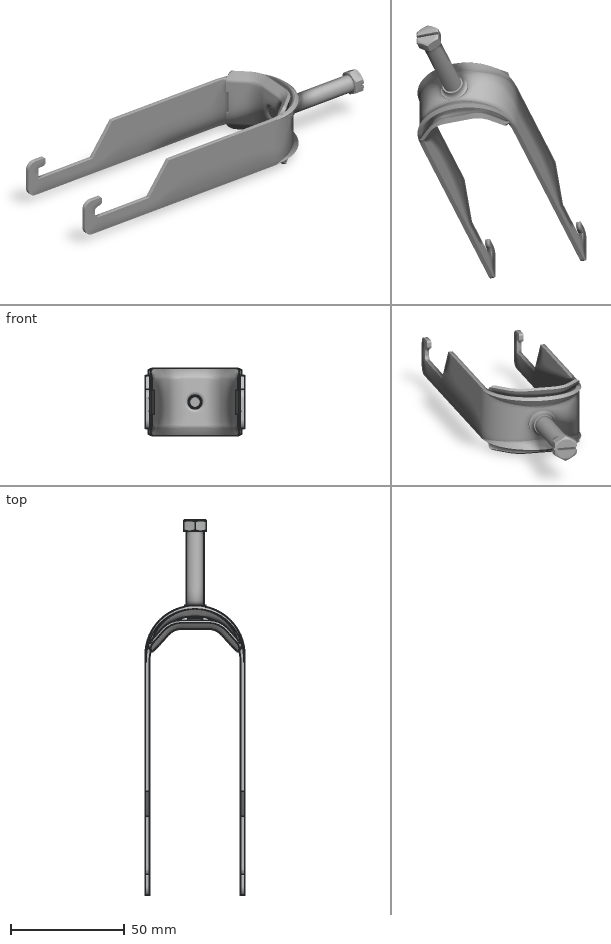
import cadquery as cq
import math

AXIS_SPAN = 165.5
SCREW_END_Y = AXIS_SPAN / 2
HOOK_END_Y = -AXIS_SPAN / 2
CUT_SIZE = 66.2
SELECT_GAP = 0.02

STRAP_SHEET = 2.0
STRAP_OUTER_R = 22.0
STRAP_INNER_R = STRAP_OUTER_R - STRAP_SHEET
BEND_Y = 20.2
CROWN_Y = BEND_Y + STRAP_OUTER_R
STRAP_HALF_WIDTH = 11.6

FLARE_ANGLE = math.radians(40)
FLARE_R = 22.0
FLARE_LIP_Z = 11.3
FLARE_RISE = 2.8
FLARE_BEND_R = 2.2
FLARE_TOP_Z = 12.5
FLARE_CENTRE_Y = CROWN_Y + FLARE_RISE - FLARE_R

COLLAR_D = 9.3
COLLAR_TOP_Y = 45.0
COLLAR_FILLET = 1.5

SLOPE_TOP_Y = -36.9
SLOPE_FOOT_Y = -47.8
ARM_TOP_Z = -4.0
HOOK_INNER_Y = -77.5
HOOK_TIP_Y = -73.5
HOOK_UNDER_Z = 1.7
HOOK_TOP_Z = 5.6
HOOK_OUTER_R = 3.8
HOOK_TIP_UNDER_R = 1.7
HOOK_TIP_TOP_R = 1.0
HOOK_THROAT_R = 2.2

SADDLE_SHEET = 1.5
SADDLE_FRONT_Y = 34.6
FLAT_HALF = 6.0
LEG_ANGLE = math.radians(48)
BEND_END_X = 11.8
LEG_END_X = 16.2
TIP_ANGLE = math.radians(43)
TIP_BEND_R = 8.3
TIP_LENGTH = 3.0
SADDLE_WIDTH = 30.0
SADDLE_HALF_WIDTH = SADDLE_WIDTH / 2
FLANGE_ANGLE = math.radians(34)
FLANGE_FOLD_Z = 11.0
FLANGE_BEND_R = 2.2
FLANGE_CORNER_R = 4.0
NOTCH_HALF = 5.3
NOTCH_DEPTH = 1.2
SADDLE_HOLE_D = 6.0
SADDLE_HOLE_ROUND = 1.7
SADDLE_COLLAR_D = 8.0
SADDLE_COLLAR_TOP_Y = 38.4

SHAFT_D = 8.0
HEAD_FLATS = 10.0
HEAD_LENGTH = 5.0
HEAD_CHAMFER_ANGLE = math.radians(30)
HEAD_FACE_D = 9.0
HEAD_BEARING_D = 10.0
SLOT_WIDTH = 1.3
SLOT_DEPTH = 2.0
SHOULDER_D = 6.6
NECK_LENGTH = 1.0
PIN_D = SADDLE_HOLE_D
PIN_TIP_D = 5.0
PIN_TIP_CHAMFER = (PIN_D - PIN_TIP_D) / 2
PIN_END_Y = 35.5


def bar_along_y(diameter, y_start, y_end):
    plane = cq.Plane(origin=(0, y_start, 0), xDir=(1, 0, 0), normal=(0, 1, 0))
    return cq.Workplane(plane).circle(diameter / 2).extrude(y_end - y_start)


def upright_disc(radius, half_height):
    disc = cq.Workplane("XY").circle(radius).extrude(half_height, both=True)
    return disc.translate((0, BEND_Y, 0))


def both_edges(shape):
    return shape.union(shape.mirror("XY"))


def flare_body(offset):
    """Solid of revolution whose wall is the flare, moved inward by `offset`."""
    cos_a = math.cos(FLARE_ANGLE)
    sin_a = math.sin(FLARE_ANGLE)
    lip_r = FLARE_R - offset * cos_a
    lip_z = FLARE_LIP_Z + offset * sin_a
    wall_r = CROWN_Y - FLARE_CENTRE_Y - offset
    bend_r = FLARE_BEND_R + offset
    bend_end_r = wall_r + bend_r * (1 - cos_a)
    bend_mid_r = wall_r + bend_r * (1 - math.cos(FLARE_ANGLE / 2))
    bend_end_z = lip_z - (lip_r - bend_end_r) / math.tan(FLARE_ANGLE)
    bend_start_z = bend_end_z - bend_r * sin_a
    bend_mid_z = bend_start_z + bend_r * math.sin(FLARE_ANGLE / 2)
    top_r = FLARE_R - STRAP_SHEET * cos_a
    top_z = FLARE_LIP_Z + STRAP_SHEET * sin_a
    profile = (
        cq.Workplane("XZ")
        .moveTo(0, bend_start_z)
        .lineTo(wall_r, bend_start_z)
        .threePointArc((bend_mid_r, bend_mid_z), (bend_end_r, bend_end_z))
        .lineTo(lip_r, lip_z)
    )
    if offset == 0:
        profile = profile.lineTo(top_r, top_z)
    body = profile.lineTo(0, top_z).close().revolve(360, (0, 0, 0), (0, 1, 0))
    return both_edges(body.translate((0, FLARE_CENTRE_Y, 0)))


def round_end():
    outer = upright_disc(STRAP_OUTER_R, STRAP_HALF_WIDTH).union(flare_body(0))
    inner = upright_disc(STRAP_INNER_R, CUT_SIZE).union(flare_body(STRAP_SHEET))
    crown_end_y = CROWN_Y + FLARE_RISE
    side_outline = [
        (BEND_Y, -STRAP_HALF_WIDTH),
        (BEND_Y, STRAP_HALF_WIDTH),
        (crown_end_y, FLARE_TOP_Z),
        (crown_end_y, -FLARE_TOP_Z),
    ]
    keep = cq.Workplane("YZ").polyline(side_outline).close().extrude(CUT_SIZE, both=True)
    return outer.cut(inner).intersect(keep)


def arm():
    """Right arm, with the throat of its hook still sharp."""
    bottom_z = -STRAP_HALF_WIDTH
    outline = [
        (BEND_Y, bottom_z),
        (BEND_Y, STRAP_HALF_WIDTH),
        (SLOPE_TOP_Y, STRAP_HALF_WIDTH),
        (SLOPE_FOOT_Y, ARM_TOP_Z),
        (HOOK_INNER_Y, ARM_TOP_Z),
        (HOOK_INNER_Y, HOOK_UNDER_Z),
        (HOOK_TIP_Y, HOOK_UNDER_Z),
        (HOOK_TIP_Y, HOOK_TOP_Z),
        (HOOK_END_Y, HOOK_TOP_Z),
        (HOOK_END_Y, bottom_z),
    ]
    plate = cq.Workplane("YZ").polyline(outline).close().extrude(STRAP_SHEET).translate((STRAP_INNER_R, 0, 0))
    corners = [
        (HOOK_END_Y, bottom_z, HOOK_OUTER_R),
        (HOOK_END_Y, HOOK_TOP_Z, HOOK_OUTER_R),
        (HOOK_TIP_Y, HOOK_UNDER_Z, HOOK_TIP_UNDER_R),
        (HOOK_TIP_Y, HOOK_TOP_Z, HOOK_TIP_TOP_R),
    ]
    for y, z, radius in corners:
        plate = round_arm_corner(plate, y, z, radius)
    return plate


def round_arm_corner(plate, y, z, radius):
    corner = cq.NearestToPointSelector((STRAP_OUTER_R - STRAP_SHEET / 2, y, z))
    return plate.edges(corner).fillet(radius)


def arms():
    right_arm = arm()
    left_arm = right_arm.mirror("YZ")
    for z in (ARM_TOP_Z, HOOK_UNDER_Z):
        right_arm = round_arm_corner(right_arm, HOOK_INNER_Y, z, HOOK_THROAT_R)
    return right_arm.union(left_arm)


def strap_collar():
    """Collar around the thread, with a rounded foot that blends into the crown."""
    radius = COLLAR_D / 2
    foot_r = radius + COLLAR_FILLET
    round_y = CROWN_Y + COLLAR_FILLET
    mid = COLLAR_FILLET * math.sqrt(0.5)
    root_y = CROWN_Y - STRAP_SHEET / 2
    return (
        cq.Workplane("XY")
        .moveTo(0, root_y)
        .lineTo(foot_r, root_y)
        .lineTo(foot_r, CROWN_Y)
        .threePointArc((foot_r - mid, round_y - mid), (radius, round_y))
        .lineTo(radius, COLLAR_TOP_Y)
        .lineTo(0, COLLAR_TOP_Y)
        .close()
        .revolve(360, (0, 0, 0), (0, 1, 0))
    )


def make_strap():
    strap = round_end().union(arms()).union(strap_collar())
    return strap.cut(bar_along_y(SHAFT_D, CROWN_Y - 2 * STRAP_SHEET, COLLAR_TOP_Y))


def arc_point(centre_x, centre_y, radius, angle):
    """Point on a circle, with the angle taken from +Y toward +X."""
    return (centre_x + radius * math.sin(angle), centre_y + radius * math.cos(angle))


def left(point):
    return (-point[0], point[1])


def saddle_path_points():
    """Points of the right half of the saddle's front surface, from the flat to the leg end."""
    bend_r = (BEND_END_X - FLAT_HALF) / math.sin(LEG_ANGLE)
    centre_y = SADDLE_FRONT_Y - bend_r
    flat_end = (FLAT_HALF, SADDLE_FRONT_Y)
    bend_mid = arc_point(FLAT_HALF, centre_y, bend_r, LEG_ANGLE / 2)
    bend_end = arc_point(FLAT_HALF, centre_y, bend_r, LEG_ANGLE)
    leg_end = (LEG_END_X, bend_end[1] - (LEG_END_X - BEND_END_X) * math.tan(LEG_ANGLE))
    axis_x, axis_y = arc_point(*leg_end, TIP_BEND_R, LEG_ANGLE)
    tip_mid = arc_point(axis_x, axis_y, -TIP_BEND_R, (LEG_ANGLE + TIP_ANGLE) / 2)
    tip_start = arc_point(axis_x, axis_y, -TIP_BEND_R, TIP_ANGLE)
    tip_end = (
        tip_start[0] + TIP_LENGTH * math.cos(TIP_ANGLE),
        tip_start[1] - TIP_LENGTH * math.sin(TIP_ANGLE),
    )
    return flat_end, bend_mid, bend_end, leg_end, tip_mid, tip_start, tip_end


def saddle_path():
    flat_end, bend_mid, bend_end, leg_end, tip_mid, tip_start, tip_end = saddle_path_points()
    return (
        cq.Workplane("XY")
        .moveTo(*left(tip_end))
        .lineTo(*left(tip_start))
        .threePointArc(left(tip_mid), left(leg_end))
        .lineTo(*left(bend_end))
        .threePointArc(left(bend_mid), left(flat_end))
        .lineTo(*flat_end)
        .threePointArc(bend_mid, bend_end)
        .lineTo(*leg_end)
        .threePointArc(tip_mid, tip_start)
        .lineTo(*tip_end)
    )


def saddle_section(plane):
    """Sheet section with both flanges; local x points to the back and local y along Z."""
    sin_a = math.sin(FLANGE_ANGLE)
    cos_a = math.cos(FLANGE_ANGLE)
    lip_x = (SADDLE_HALF_WIDTH - FLANGE_FOLD_Z) * math.tan(FLANGE_ANGLE)
    lip_back_x = lip_x + SADDLE_SHEET * cos_a
    lip_back_z = SADDLE_HALF_WIDTH - SADDLE_SHEET * sin_a
    fold_back_z = FLANGE_FOLD_Z - SADDLE_SHEET * math.tan(FLANGE_ANGLE / 2)
    outline = [
        (0, FLANGE_FOLD_Z),
        (lip_x, SADDLE_HALF_WIDTH),
        (lip_back_x, lip_back_z),
        (SADDLE_SHEET, fold_back_z),
        (SADDLE_SHEET, -fold_back_z),
        (lip_back_x, -lip_back_z),
        (lip_x, -SADDLE_HALF_WIDTH),
        (0, -FLANGE_FOLD_Z),
    ]
    return cq.Workplane(plane).polyline(outline).close()


def leg_end_plane(side):
    """Plane in a leg's front surface at its end: x along the leg, normal toward the back."""
    tip_x, tip_y = saddle_path_points()[-1]
    return cq.Plane(
        origin=(side * tip_x, tip_y, 0),
        xDir=(side * math.cos(TIP_ANGLE), -math.sin(TIP_ANGLE), 0),
        normal=(side * math.sin(TIP_ANGLE), math.cos(TIP_ANGLE), 0),
    )


def saddle_sheet():
    left_end = leg_end_plane(-1)
    start = cq.Plane(origin=left_end.origin, xDir=left_end.zDir, normal=left_end.xDir * -1)
    return saddle_section(start).sweep(saddle_path())


def round_flange_folds(saddle):
    fold_back_z = FLANGE_FOLD_Z - SADDLE_SHEET * math.tan(FLANGE_ANGLE / 2)
    folds = ((FLANGE_FOLD_Z, FLANGE_BEND_R), (fold_back_z, FLANGE_BEND_R - SADDLE_SHEET))
    for fold_z, radius in folds:
        for level in (-fold_z, fold_z):
            low = (-CUT_SIZE, -CUT_SIZE, level - SELECT_GAP)
            high = (CUT_SIZE, CUT_SIZE, level + SELECT_GAP)
            saddle = saddle.edges(cq.selectors.BoxSelector(low, high)).fillet(radius)
    return saddle


def trim_leg_end(saddle, side):
    """Round the flange corners of one leg end and cut its shallow notch."""
    end = leg_end_plane(side)
    keep = (
        cq.Workplane(end)
        .center(-CUT_SIZE / 2, 0)
        .rect(CUT_SIZE, 2 * SADDLE_HALF_WIDTH)
        .extrude(CUT_SIZE, both=True)
        .edges(cq.selectors.ParallelDirSelector(end.zDir))
        .fillet(FLANGE_CORNER_R)
    )
    notch = cq.Workplane(end).rect(2 * NOTCH_DEPTH, 2 * NOTCH_HALF).extrude(2 * SADDLE_SHEET, both=True)
    return saddle.intersect(keep).cut(notch)


def add_drawn_hole(saddle):
    """Hole with a short collar behind the flat and a rounded mouth in front."""
    middle_y = SADDLE_FRONT_Y + SADDLE_SHEET / 2
    saddle = saddle.union(bar_along_y(SADDLE_COLLAR_D, middle_y, SADDLE_COLLAR_TOP_Y))
    saddle = saddle.cut(bar_along_y(SADDLE_HOLE_D, SADDLE_FRONT_Y, SADDLE_COLLAR_TOP_Y))
    front_face = cq.NearestToPointSelector((0, SADDLE_FRONT_Y, 0))
    return saddle.faces(front_face).edges("%CIRCLE").fillet(SADDLE_HOLE_ROUND)


def make_saddle(strap):
    saddle = round_flange_folds(saddle_sheet())
    for side in (-1, 1):
        saddle = trim_leg_end(saddle, side)
    saddle = saddle.cut(strap)
    return add_drawn_hole(saddle)


def make_screw():
    head_start_y = SCREW_END_Y - HEAD_LENGTH
    head_plane = cq.Plane(origin=(0, head_start_y, 0), xDir=(0, 0, 1), normal=(0, 1, 0))
    corner_d = HEAD_FLATS / math.cos(math.pi / 6)
    head = cq.Workplane(head_plane).polygon(6, corner_d).extrude(HEAD_LENGTH)
    blank = cq.Workplane(head_plane).circle(corner_d / 2).extrude(HEAD_LENGTH)
    for end, face_d in ((">Y", HEAD_FACE_D), ("<Y", HEAD_BEARING_D)):
        chamfer_width = (corner_d - face_d) / 2
        chamfer_length = chamfer_width * math.tan(HEAD_CHAMFER_ANGLE)
        blank = blank.faces(end).chamfer(chamfer_length, chamfer_width)
    head = head.intersect(blank)
    slot = cq.Workplane("XY").box(CUT_SIZE, 2 * SLOT_DEPTH, SLOT_WIDTH).translate((0, SCREW_END_Y, 0))
    head = head.cut(slot)

    neck_top_y = SADDLE_COLLAR_TOP_Y + NECK_LENGTH
    cone_end_y = neck_top_y + (SHAFT_D - SHOULDER_D) / 2
    screw = (
        cq.Workplane("XY")
        .moveTo(0, PIN_END_Y)
        .lineTo(PIN_TIP_D / 2, PIN_END_Y)
        .lineTo(PIN_D / 2, PIN_END_Y + PIN_TIP_CHAMFER)
        .lineTo(PIN_D / 2, SADDLE_COLLAR_TOP_Y)
        .lineTo(SHOULDER_D / 2, SADDLE_COLLAR_TOP_Y)
        .lineTo(SHOULDER_D / 2, neck_top_y)
        .lineTo(SHAFT_D / 2, cone_end_y)
        .lineTo(SHAFT_D / 2, head_start_y)
        .lineTo(0, head_start_y)
        .close()
        .revolve(360, (0, 0, 0), (0, 1, 0))
    )
    return screw.union(head)


strap = make_strap()
saddle = make_saddle(strap)
screw = make_screw()

result = cq.Compound.makeCompound([strap.solids().val(), saddle.solids().val(), screw.solids().val()])